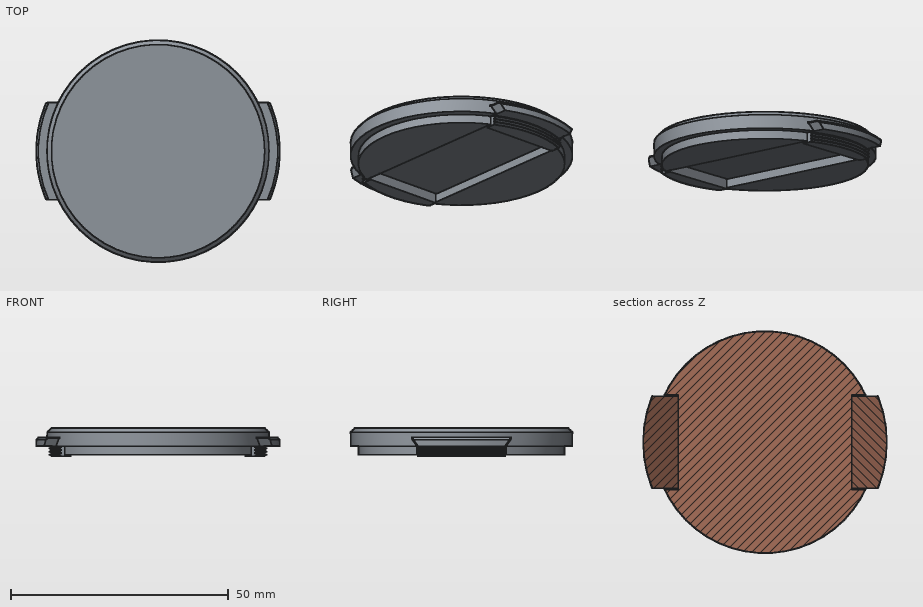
import cadquery as cq

total_height = 6.55
cap_bottom = 2.35
skirt_bottom = 0.35
tab_height = 2.0
tab_top = cap_bottom + tab_height

cap_diameter = 51.0
cap_chamfer = 1.0
skirt_diameter = 47.4

tab_outer_radius = 28.0
tab_chamfer = 0.5
clip_inner_x = 20.0
foot_half_width = 10.0
tab_top_half_width = 11.2
dovetail_land = 0.2
foot_side_gap = 0.2
dovetail_side_gap = 0.3
clip_angles = (0, 180)

thread_root_radius = 24.4
thread_crest_radius = 25.0
thread_pitch = 0.7
thread_count = 3
tooth_width = 0.6
lowest_crest_height = 0.4


def clip_outline(foot_clearance, dovetail_clearance):
    """Straight foot with a dovetail on top, as an outline across the clip direction."""
    foot = foot_half_width + foot_clearance
    top = tab_top_half_width + dovetail_clearance
    land_bottom = tab_top - dovetail_land
    return (
        cq.Workplane("YZ", origin=(clip_inner_x, 0, 0))
        .polyline(
            [
                (-foot, 0),
                (foot, 0),
                (foot, cap_bottom),
                (top, land_bottom),
                (top, tab_top),
                (-top, tab_top),
                (-top, land_bottom),
                (-foot, cap_bottom),
            ]
        )
        .close()
    )


def make_cap():
    """Chamfered disc with a skirt, slotted from both ends for the clips."""
    disc = (
        cq.Workplane("XY", origin=(0, 0, cap_bottom))
        .circle(cap_diameter / 2)
        .extrude(total_height - cap_bottom)
        .faces(">Z")
        .chamfer(cap_chamfer)
    )
    skirt = (
        cq.Workplane("XY", origin=(0, 0, skirt_bottom))
        .circle(skirt_diameter / 2)
        .extrude(cap_bottom - skirt_bottom)
    )
    skirt_channel = cq.Workplane("XY").box(
        cap_diameter,
        2 * (foot_half_width + foot_side_gap),
        cap_bottom,
        centered=(True, True, False),
    )
    cap = disc.union(skirt).cut(skirt_channel)
    slot = clip_outline(foot_side_gap, dovetail_side_gap).extrude(tab_outer_radius - clip_inner_x)
    for angle in clip_angles:
        cap = cap.cut(slot.rotate((0, 0, 0), (0, 0, 1), angle))
    return cap


def make_clip_envelope():
    """Turned blank that gives the clips their round rim and their threaded foot."""
    profile = cq.Workplane("XZ").moveTo(0, 0).lineTo(thread_root_radius, 0)
    for tooth in range(thread_count):
        crest_z = lowest_crest_height + tooth * thread_pitch
        profile = (
            profile.lineTo(thread_root_radius, crest_z - tooth_width / 2)
            .lineTo(thread_crest_radius, crest_z)
            .lineTo(thread_root_radius, crest_z + tooth_width / 2)
        )
    return (
        profile.lineTo(thread_root_radius, cap_bottom)
        .lineTo(tab_outer_radius, cap_bottom)
        .lineTo(tab_outer_radius, tab_top - tab_chamfer)
        .lineTo(tab_outer_radius - tab_chamfer, tab_top)
        .lineTo(0, tab_top)
        .close()
        .revolve(360, (0, 0, 0), (0, 1, 0))
    )


def make_clip(angle):
    """Dovetail bar cut to the turned blank and swung to its end of the cap."""
    bar = clip_outline(0, 0).extrude(tab_outer_radius - clip_inner_x)
    return bar.intersect(make_clip_envelope()).rotate((0, 0, 0), (0, 0, 1), angle)


cap = make_cap()
clips = [make_clip(angle) for angle in clip_angles]

result = cq.Compound.makeCompound([cap.val(), *[clip.val() for clip in clips]])